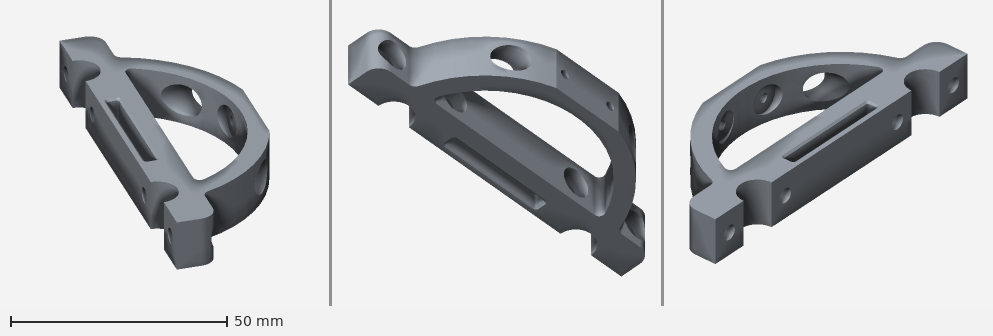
import cadquery as cq
import math

length = 90.0
thickness = 12.5
base_depth = 10.0
corner_radius = 4.0

overall_depth = 33.5
arch_outer_radius = 35.0
arch_inner_radius = 30.0
opening_corner_radius = 1.5
foot_radius = 2.0

notch_diameter = 10.0
notch_spacing = 59.9

slot_length = 30.0
slot_width = 3.0
slot_center_y = 3.3
slot_corner_radius = 0.5
slot_rim = 0.5

hole_diameter = 4.0
bore_diameter = 8.0
outer_hole_x = 40.0
inner_hole_x = outer_hole_x / 2
bore_depth = 4.0

small_hole_diameter = 2.5
small_hole_x = 7.5
small_bore_floor_y = arch_inner_radius

mid_z = thickness / 2
bore_floor_y = base_depth - bore_depth

selection_margin = 0.1


def bar(width, y_start, y_end):
    """Full-height block, centred on X, between two Y positions."""
    block = cq.Workplane("XY").box(width, y_end - y_start, thickness, centered=(True, False, False))
    return block.translate((0, y_start, 0))


def disc(radius, x=0.0):
    """Full-height upright cylinder centred on the front face."""
    return cq.Workplane("XY").center(x, 0).circle(radius).extrude(thickness)


def bore(diameter, x, y_start, y_end):
    """Cylinder along Y at mid height, between two Y positions."""
    profile = cq.Workplane("XZ", origin=(x, y_start, mid_z)).circle(diameter / 2)
    return profile.extrude(y_start - y_end)


def upright_edges_at(body, x, y):
    """Upright edges at mirrored places on both sides of X = 0."""
    corner_boxes = [
        cq.selectors.BoxSelector(
            (side * x - selection_margin, y - selection_margin, -selection_margin),
            (side * x + selection_margin, y + selection_margin, thickness + selection_margin),
        )
        for side in (-1, 1)
    ]
    return body.edges("|Z").edges(corner_boxes[0] + corner_boxes[1])


def make_frame():
    """Bar and arch with rounded corners and feet, and the opening between them."""
    arch = disc(arch_outer_radius).intersect(bar(length, 0, overall_depth))
    frame = bar(length, 0, base_depth).union(arch)
    foot_x = math.sqrt(arch_outer_radius**2 - base_depth**2)
    frame = upright_edges_at(frame, foot_x, base_depth).fillet(foot_radius)
    frame = upright_edges_at(frame, length / 2, base_depth).fillet(corner_radius)
    opening = disc(arch_inner_radius).intersect(bar(length, base_depth, overall_depth))
    opening = opening.edges("|Z").fillet(opening_corner_radius)
    return frame.cut(opening)


def cut_slot(body):
    """Cut the rounded strap slot and chamfer its top and bottom rims."""
    slot = cq.Workplane("XY").center(0, slot_center_y).rect(slot_length, slot_width).extrude(thickness)
    slot = slot.edges("|Z").fillet(slot_corner_radius)
    reach_x = slot_length / 2 + selection_margin
    reach_y = slot_width / 2 + selection_margin
    slot_zone = cq.selectors.BoxSelector(
        (-reach_x, slot_center_y - reach_y, -selection_margin),
        (reach_x, slot_center_y + reach_y, thickness + selection_margin),
        boundingbox=True,
    )
    return body.cut(slot).edges(slot_zone).edges("not(|Z)").chamfer(slot_rim)


result = cut_slot(make_frame())
for side in (-1, 1):
    result = result.cut(disc(notch_diameter / 2, side * notch_spacing / 2))
    for hole_x in (inner_hole_x, outer_hole_x):
        result = result.cut(bore(hole_diameter, side * hole_x, 0, base_depth))
        result = result.cut(bore(bore_diameter, side * hole_x, bore_floor_y, overall_depth))
    result = result.cut(bore(small_hole_diameter, side * small_hole_x, base_depth, overall_depth))
    result = result.cut(bore(bore_diameter, side * small_hole_x, base_depth, small_bore_floor_y))